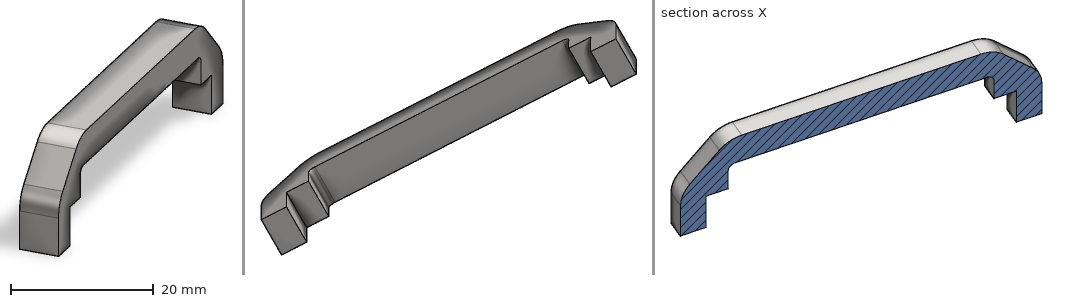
import cadquery as cq

length = 56.5
width = 6.0
height = 15.5

bar_thickness = 5.0
foot_thickness = 4.0
step_height = 6.0
leg_thickness = 7.5

corner_chamfer = 7.5
outer_radius = 5.0
inner_radius = 1.0

half_length = length / 2
foot_inside = half_length - foot_thickness
leg_inside = half_length - leg_thickness
bar_underside = height - bar_thickness


def handle_blank():
    """Arched side profile in the YZ plane, extruded across the width."""
    points = [
        (-half_length, 0),
        (-half_length, height - corner_chamfer),
        (-half_length + corner_chamfer, height),
        (half_length - corner_chamfer, height),
        (half_length, height - corner_chamfer),
        (half_length, 0),
        (foot_inside, 0),
        (foot_inside, step_height),
        (leg_inside, step_height),
        (leg_inside, bar_underside),
        (-leg_inside, bar_underside),
        (-leg_inside, step_height),
        (-foot_inside, step_height),
        (-foot_inside, 0),
    ]
    return cq.Workplane("YZ").polyline(points).close().extrude(width / 2, both=True)


def round_corners(body, corners, radius):
    """Fillet the edges running along X through the given (y, z) corners."""
    for y, z in corners:
        edge = cq.selectors.NearestToPointSelector((0, y, z))
        body = body.edges("|X").edges(edge).fillet(radius)
    return body


outer_corners = []
inner_corners = []
for side in (-1, 1):
    outer_corners.append((side * half_length, height - corner_chamfer))
    outer_corners.append((side * (half_length - corner_chamfer), height))
    inner_corners.append((side * leg_inside, bar_underside))

result = handle_blank()
result = round_corners(result, outer_corners, outer_radius)
result = round_corners(result, inner_corners, inner_radius)